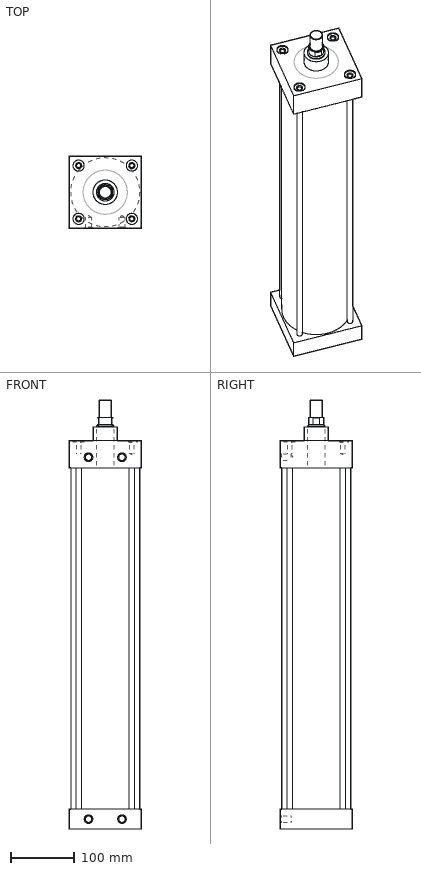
import cadquery as cq
import math

overall_height = 679.5
cap_side = 114.0

rear_cap_height = 32.0
head_cap_height = 43.5
thread_end_length = 27.0
neck_length = 11.5
neck_lip_length = 1.5
rod_stub_length = 3.5
collar_height = 22.0

collar_top = overall_height - thread_end_length - neck_length - rod_stub_length
head_cap_top = collar_top - collar_height
head_cap_bottom = head_cap_top - head_cap_height

barrel_diameter = 109.5
tie_rod_diameter = 9.0
corner_offset = 42.0

gland_diameter = 70.0
collar_diameter = 39.0

counterbore_diameter = 18.0
counterbore_depth = 2.0
mounting_hole_diameter = 7.0
mounting_mouth_diameter = 9.5
mounting_hole_depth = 20.5

head_port_drop = 26.5
port_offset = 26.5
port_diameter = 10.0
port_mouth_diameter = 13.5
port_depth = 17.0
head_port_height = head_cap_top - head_port_drop
rear_port_height = rear_cap_height / 2

drill_half_angle = math.radians(59)

rod_diameter = 28.0
neck_diameter = 24.0
thread_end_diameter = 20.0
neck_across_flats = 21.0
tip_chamfer = 1.0
stub_chamfer = (rod_diameter - neck_diameter) / 2
rod_bottom = head_cap_bottom

corners = [(x, y) for x in (-corner_offset, corner_offset) for y in (-corner_offset, corner_offset)]


def cylinder(diameter, bottom, top):
    """Cylinder on the main axis between two heights."""
    return cq.Workplane("XY").workplane(offset=bottom).circle(diameter / 2).extrude(top - bottom)


def square_cap(bottom, height):
    """Square end cap standing on the given height."""
    return cq.Workplane("XY").workplane(offset=bottom).rect(cap_side, cap_side).extrude(height)


def drilled_hole(mouth_profile, diameter, depth):
    """Blind hole along -Z from the origin: mouth points, straight wall and a conical drill point."""
    radius = diameter / 2
    tip_depth = depth + radius / math.tan(drill_half_angle)
    profile = [(0, 0), *mouth_profile, (radius, -depth), (0, -tip_depth)]
    return cq.Workplane("XZ").polyline(profile).close().revolve(360, (0, 0), (0, 1))


def mounting_hole():
    """Counterbored hole with a 45 degree countersink, opening at the origin."""
    countersink_depth = (mounting_mouth_diameter - mounting_hole_diameter) / 2
    mouth = [
        (counterbore_diameter / 2, 0),
        (counterbore_diameter / 2, -counterbore_depth),
        (mounting_mouth_diameter / 2, -counterbore_depth),
        (mounting_hole_diameter / 2, -counterbore_depth - countersink_depth),
    ]
    return drilled_hole(mouth, mounting_hole_diameter, mounting_hole_depth)


def port():
    """Port with a 45 degree countersunk mouth, opening at the origin towards -Y."""
    countersink_depth = (port_mouth_diameter - port_diameter) / 2
    mouth = [(port_mouth_diameter / 2, 0), (port_diameter / 2, -countersink_depth)]
    return drilled_hole(mouth, port_diameter, port_depth).rotate((0, 0, 0), (1, 0, 0), 90)


def make_housing():
    """Barrel, tie rods, both caps and the gland as one solid with a bore for the rod."""
    housing = square_cap(0, rear_cap_height)
    housing = housing.union(cylinder(barrel_diameter, rear_cap_height, head_cap_bottom))
    tie_rods = (
        cq.Workplane("XY").workplane(offset=rear_cap_height).pushPoints(corners)
        .circle(tie_rod_diameter / 2).extrude(head_cap_bottom - rear_cap_height)
    )
    housing = housing.union(tie_rods)
    housing = housing.union(square_cap(head_cap_bottom, head_cap_height))

    for x, y in corners:
        housing = housing.cut(mounting_hole().translate((x, y, head_cap_top)))
    for x in (-port_offset, port_offset):
        for z in (rear_port_height, head_port_height):
            housing = housing.cut(port().translate((x, -cap_side / 2, z)))

    gland = cylinder(gland_diameter, head_cap_bottom, head_cap_top)
    gland = gland.union(cylinder(collar_diameter, head_cap_top, collar_top))
    housing = housing.cut(cylinder(gland_diameter, head_cap_bottom, head_cap_top))
    housing = housing.union(gland, clean=False)
    return housing.cut(cylinder(rod_diameter, rod_bottom, collar_top), clean=False)


def make_piston_rod():
    """Stepped rod with two wrench flats facing -X and +X on its neck."""
    stub_top = collar_top + rod_stub_length
    flats_top = stub_top + neck_length - neck_lip_length
    thread_end_bottom = overall_height - thread_end_length

    flats_slab = (
        cq.Workplane("XY").workplane(offset=stub_top)
        .rect(neck_across_flats, neck_diameter).extrude(flats_top - stub_top)
    )
    flats = cylinder(neck_diameter, stub_top, flats_top).intersect(flats_slab)
    lip = cylinder(neck_diameter, flats_top, thread_end_bottom)
    thread_end = cylinder(thread_end_diameter, thread_end_bottom, overall_height)
    thread_end = thread_end.faces(">Z").chamfer(tip_chamfer)

    rod = cylinder(rod_diameter, rod_bottom, stub_top).faces(">Z").chamfer(stub_chamfer)
    return rod.union(flats).union(lip).union(thread_end)


housing = make_housing()
piston_rod = make_piston_rod()

result = cq.Compound.makeCompound([housing.val(), piston_rod.val()])